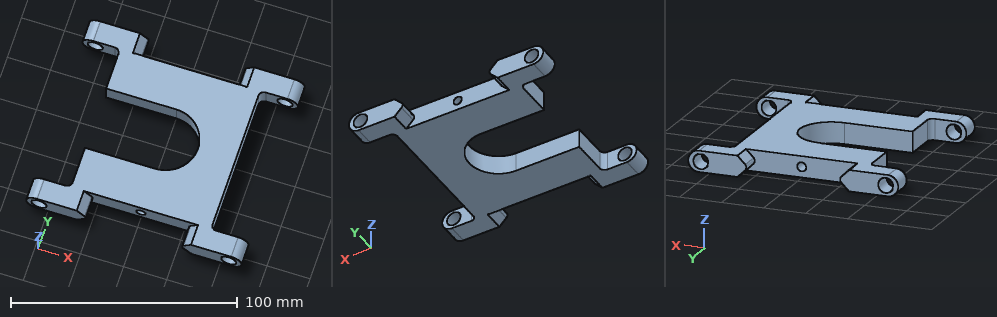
import cadquery as cq
import math

length = 100.0
width = 90.0
thickness = 10.0

body_length = 65.0
body_width = 70.0
slot_width = 30.0
slot_center_x = 0.0
corner_fillet = 2.5

arm_depth = (width - body_width) / 2
end_radius = thickness / 2
bevel_start_x = 26.5
nose_radius = 2.0
pin_hole_diameter = 7.0
pin_hole_x = 44.0

side_hole_diameter = 4.2
side_hole_depth = 10.0
drill_point_angle = 118.0


def make_body():
    """Central plate with a round-ended slot open towards -X."""
    body = cq.Workplane("XY").box(body_length, body_width, thickness)
    slot_end = cq.Workplane("XY").center(slot_center_x, 0).circle(slot_width / 2)
    slot_end = slot_end.extrude(thickness, both=True)
    slot_run = cq.Workplane("XY").box(length, slot_width, 2 * thickness)
    slot_run = slot_run.translate((slot_center_x - length / 2, 0, 0))
    return body.cut(slot_end).cut(slot_run)


def make_arm():
    """Arm at the +X, -Y corner: rounded outer end, blunted 45 degree nose inside."""
    half = thickness / 2
    end_center_x = length / 2 - end_radius
    arm = (
        cq.Workplane("XZ", origin=(0, -body_width / 2, 0))
        .moveTo(bevel_start_x, half)
        .lineTo(end_center_x, half)
        .threePointArc((length / 2, 0), (end_center_x, -half))
        .lineTo(bevel_start_x, -half)
        .lineTo(bevel_start_x - half, 0)
        .close()
        .extrude(arm_depth)
    )
    nose_tip = cq.selectors.NearestToPointSelector((bevel_start_x - half, -(width - arm_depth) / 2, 0))
    arm = arm.edges(nose_tip).fillet(nose_radius)
    pin_hole = (
        cq.Workplane("XZ", origin=(0, -body_width / 2, 0))
        .center(pin_hole_x, 0)
        .circle(pin_hole_diameter / 2)
        .extrude(arm_depth)
    )
    return arm.cut(pin_hole)


def make_side_hole():
    """Drilled hole with a conical bottom, entering the -Y face of the body."""
    radius = side_hole_diameter / 2
    point_length = radius / math.tan(math.radians(drill_point_angle / 2))
    entry_y = -body_width / 2
    return (
        cq.Workplane("XY")
        .moveTo(0, entry_y)
        .lineTo(radius, entry_y)
        .lineTo(radius, entry_y + side_hole_depth)
        .lineTo(0, entry_y + side_hole_depth + point_length)
        .close()
        .revolve(360, (0, 0, 0), (0, 1, 0))
    )


plate = make_body()
front_right_arm = make_arm()
front_arms = front_right_arm.union(front_right_arm.mirror("YZ"))
plate = plate.union(front_arms).union(front_arms.mirror("XZ"))

for x in (-body_length / 2, body_length / 2):
    for y in (-body_width / 2, body_width / 2):
        inside_corner = cq.selectors.NearestToPointSelector((x, y, 0))
        plate = plate.edges("|Z").edges(inside_corner).fillet(corner_fillet)

side_hole = make_side_hole()
result = plate.cut(side_hole).cut(side_hole.mirror("XZ"))